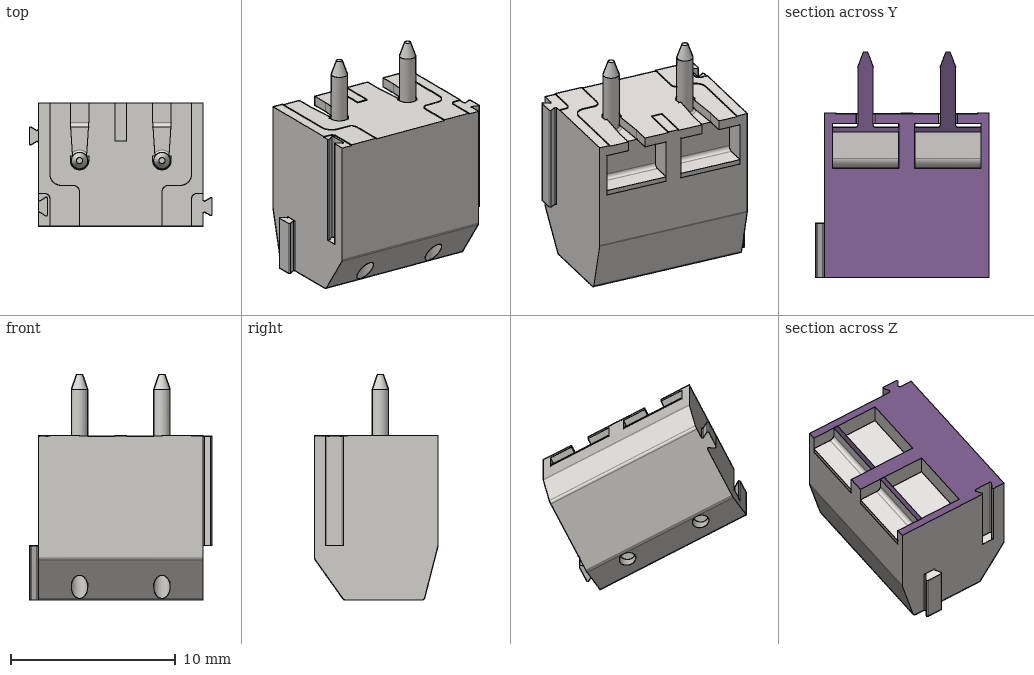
import cadquery as cq


width = 10.0
depth = 7.5
height = 10.0
half_width = width / 2
top_step = 0.05
main_top = height - top_step
front_slope_run = 1.78
front_slope_rise = 2.5
back_slope_run = 0.84
back_slope_rise = 3.26
profile_radius = 0.2

pole_pitch = 5.0
pole_xs = (-pole_pitch / 2, pole_pitch / 2)
pin_y = 4.0

border_width = 0.7
border_inner_x = half_width - border_width
border_front_x = pole_pitch / 2
border_step_y = 2.5
border_outer_radius = 0.7
border_inner_radius = 0.4
corner_pad_depth = 2.0
corner_pad_radius = 0.3
rib_width = 0.7
rib_length = 2.3

dovetail_reach = 0.55
dovetail_neck = 0.08
dovetail_lip = 0.1
dovetail_edge_radius = 0.08
neck_half_width = 0.33
tongue_half_width = 0.55
groove_half_width = 0.58
mouth_half_width = 0.4
dovetail_split_z = 3.3
low_tongue_y = 5.5
high_dovetail_y = 1.2

cavity_width = 4.0
cavity_front_y = 3.0
roof_thickness = 0.6
roof_underside = main_top - roof_thickness

pin_hole_radius = 0.56
pin_hole_back = 0.27
slot_straight_length = 1.16
slot_end_width = 0.85

test_hole_radius = 0.5
test_hole_y = 1.2
test_hole_top = dovetail_split_z

sheet_thickness = 0.3
plate_drop = 0.82
foot_drop = 3.0
foot_reach = 1.47
plate_top = main_top - plate_drop
plate_back_y = depth - foot_reach
foot_top = main_top - foot_drop
foot_bottom = foot_top - sheet_thickness
bend_radius = 0.27
pin_radius = 0.5
pin_top = 13.7
pin_tip_radius = 0.185
pin_tip_length = 0.9
pin_base_fillet = 0.14


def block(x_min, x_max, y_min, y_max, z_min, z_max):
    return cq.Workplane("XY").box(
        x_max - x_min, y_max - y_min, z_max - z_min, centered=False
    ).translate((x_min, y_min, z_min))


def housing_block():
    """Block with sloped lower front and back, rounded at the bends."""
    profile = [
        (0, main_top),
        (0, front_slope_rise),
        (front_slope_run, 0),
        (depth - back_slope_run, 0),
        (depth, back_slope_rise),
        (depth, main_top),
    ]
    body = cq.Workplane("YZ").polyline(profile).close().extrude(half_width, both=True)
    bends = cq.selectors.BoxSelector(
        (-width, -depth, -height), (width, 2 * depth, back_slope_rise + profile_radius)
    )
    return body.edges("|X").edges(bends).fillet(profile_radius)


def raised_border():
    """Raised area along the right side of the top, stepping inward near the front."""
    border = (
        cq.Workplane("XY", origin=(0, 0, main_top))
        .moveTo(half_width, depth)
        .lineTo(border_inner_x, depth)
        .lineTo(border_inner_x, border_step_y + border_outer_radius)
        .radiusArc((border_inner_x - border_outer_radius, border_step_y), border_outer_radius)
        .lineTo(border_front_x + border_inner_radius, border_step_y)
        .radiusArc((border_front_x, border_step_y - border_inner_radius), -border_inner_radius)
        .lineTo(border_front_x, 0)
        .lineTo(border_inner_x, 0)
        .lineTo(border_inner_x, corner_pad_depth - corner_pad_radius)
        .radiusArc((border_inner_x + corner_pad_radius, corner_pad_depth), corner_pad_radius)
        .lineTo(half_width, corner_pad_depth)
        .close()
    )
    return border.extrude(top_step)


def raised_rib():
    return block(-rib_width / 2, rib_width / 2, depth - rib_length, depth, main_top, height)


def dovetail(end_half_width, side, y, z_min, z_max):
    """Dovetail bar that starts on the X = 0 plane and widens toward the given side (+1 or -1)."""
    half_outline = [
        (0, mouth_half_width),
        (dovetail_neck, neck_half_width),
        (dovetail_reach - dovetail_lip, end_half_width),
        (dovetail_reach, end_half_width),
    ]
    upper = [(side * x, half) for x, half in half_outline]
    lower = [(x, -half) for x, half in reversed(upper)]
    bar = cq.Workplane("XY").polyline(upper + lower).close().extrude(z_max - z_min)
    wide_edges = ">X" if side > 0 else "<X"
    bar = bar.faces(wide_edges).edges("|Z").fillet(dovetail_edge_radius)
    return bar.translate((0, y, z_min))


def pin_slot(x):
    """Opening through the roof: a pin hole and a slot that widens from it to the back."""
    hole_end = pin_y + pin_hole_back
    taper_end = depth - slot_straight_length
    outline = (
        cq.Workplane("XY", origin=(x, 0, roof_underside))
        .moveTo(-pin_hole_radius, pin_y)
        .threePointArc((0, pin_y - pin_hole_radius), (pin_hole_radius, pin_y))
        .lineTo(pin_hole_radius, hole_end)
        .lineTo(slot_end_width / 2, hole_end)
        .lineTo(pin_hole_radius, taper_end)
        .lineTo(pin_hole_radius, depth)
        .lineTo(-pin_hole_radius, depth)
        .lineTo(-pin_hole_radius, taper_end)
        .lineTo(-slot_end_width / 2, hole_end)
        .lineTo(-pin_hole_radius, hole_end)
        .close()
    )
    return outline.extrude(roof_thickness)


def cavity(x):
    return block(
        x - cavity_width / 2, x + cavity_width / 2,
        cavity_front_y, depth,
        foot_bottom, roof_underside,
    )


def test_hole(x):
    return cq.Workplane("XY").center(x, test_hole_y).circle(test_hole_radius).extrude(test_hole_top)


def make_housing():
    body = housing_block()
    border = raised_border()
    body = body.union(border).union(border.mirror("YZ")).union(raised_rib())

    low_tongue = dovetail(tongue_half_width, -1, low_tongue_y, 0, dovetail_split_z)
    high_tongue = dovetail(tongue_half_width, 1, high_dovetail_y, dovetail_split_z, main_top)
    groove = dovetail(groove_half_width, 1, high_dovetail_y, dovetail_split_z, main_top)
    body = body.union(low_tongue.translate((-half_width, 0, 0)))
    body = body.union(high_tongue.translate((half_width, 0, 0)))
    body = body.cut(groove.translate((-half_width, 0, 0)))

    for x in pole_xs:
        body = body.cut(cavity(x)).cut(pin_slot(x)).cut(test_hole(x))
    return body


def make_terminal(x):
    """Sheet bent down and back into a foot, with a pointed pin rising from its plate."""
    leg_front_y = plate_back_y - sheet_thickness
    outer_radius = bend_radius + sheet_thickness
    strip = (
        cq.Workplane("YZ")
        .moveTo(cavity_front_y, plate_top)
        .lineTo(plate_back_y, plate_top)
        .lineTo(plate_back_y, foot_top + bend_radius)
        .radiusArc((plate_back_y + bend_radius, foot_top), -bend_radius)
        .lineTo(depth, foot_top)
        .lineTo(depth, foot_bottom)
        .lineTo(leg_front_y + outer_radius, foot_bottom)
        .radiusArc((leg_front_y, foot_bottom + outer_radius), outer_radius)
        .lineTo(leg_front_y, plate_top - sheet_thickness)
        .lineTo(cavity_front_y, plate_top - sheet_thickness)
        .close()
        .extrude(cavity_width / 2, both=True)
    )
    flare_radius = pin_radius + pin_base_fillet
    pin = (
        cq.Workplane("XZ")
        .moveTo(0, plate_top)
        .lineTo(flare_radius, plate_top)
        .radiusArc((pin_radius, plate_top + pin_base_fillet), pin_base_fillet)
        .lineTo(pin_radius, pin_top - pin_tip_length)
        .lineTo(pin_tip_radius, pin_top)
        .lineTo(0, pin_top)
        .close()
        .revolve(360, (0, 0, 0), (0, 1, 0))
        .translate((0, pin_y, 0))
    )
    return strip.union(pin).translate((x, 0, 0))


housing = make_housing()
terminals = [make_terminal(x) for x in pole_xs]

result = cq.Compound.makeCompound([housing.val(), *[terminal.val() for terminal in terminals]])